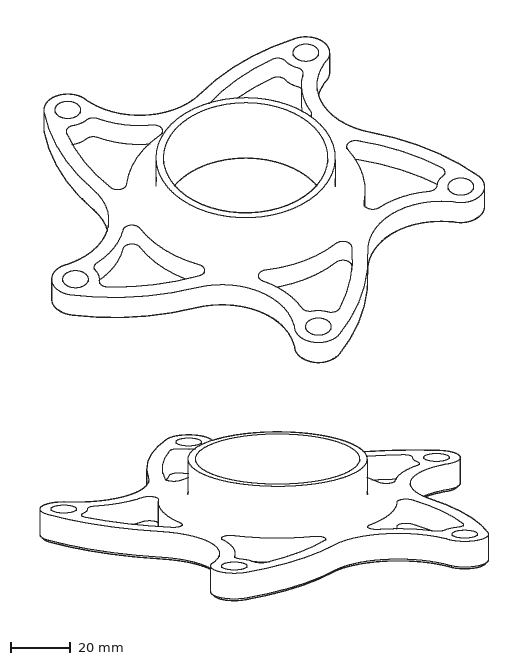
import math

import cadquery as cq

ARM_COUNT = 5
ARM_PITCH = 360 / ARM_COUNT
BOLT_CIRCLE_RADIUS = 72.0
TIP_RADIUS = 8.0
BOLT_HOLE_DIAMETER = 8.6
VALLEY_RADIUS = 24.5
VALLEY_CENTER_ANGLE = -13.5
BACK_RADIUS = 80.0
FLANK_START_ANGLE = -21.0
FLANK_END_ANGLE = 178.0

PLATE_THICKNESS = 10.0
BOTTOM_CHAMFER = 1.0
TOTAL_HEIGHT = 25.0
HUB_RADIUS = 30.0
BORE_RADIUS = 27.5
HUB_FILLET = 3.0

WALL = 5.2
POCKET_INNER_RADIUS = 40.0
POCKET_DEPTH = 8.5
BOSS_RADIUS = TIP_RADIUS
POCKET_CORNER_RADIUS = 3.0

INSIDE = -1
OUTSIDE = 1


def polar(center, radius, angle):
    """Point at a distance and direction (degrees) from a centre."""
    a = math.radians(angle)
    return (center[0] + radius * math.cos(a), center[1] + radius * math.sin(a))


def direction(start, end):
    """Direction in degrees from one point to another."""
    return math.degrees(math.atan2(end[1] - start[1], end[0] - start[0]))


def turn(point, angle):
    """Point turned about the part axis."""
    return polar((0, 0), math.hypot(*point), direction((0, 0), point) + angle)


def circle_meeting(center_a, radius_a, center_b, radius_b):
    """Meeting point of two circles that lies to the right of the line from a to b."""
    span = math.dist(center_a, center_b)
    cosine = (radius_a**2 + span**2 - radius_b**2) / (2 * radius_a * span)
    return polar(center_a, radius_a, direction(center_a, center_b) - math.degrees(math.acos(cosine)))


tip = (0.0, BOLT_CIRCLE_RADIUS)
valley = polar(tip, TIP_RADIUS + VALLEY_RADIUS, VALLEY_CENTER_ANGLE)
previous_valley = turn(valley, ARM_PITCH)
back = circle_meeting(
    previous_valley, VALLEY_RADIUS + BACK_RADIUS, tip, BACK_RADIUS - TIP_RADIUS
)


def star_outline():
    """Closed outline of the plate, drawn clockwise arm by arm."""
    back_direction = direction(back, tip)
    valley_to_next_back = direction(valley, turn(back, -ARM_PITCH)) % 360
    back_start = polar(previous_valley, VALLEY_RADIUS, direction(previous_valley, back))
    back_end = polar(back, BACK_RADIUS, back_direction)
    back_middle = polar(back, BACK_RADIUS, (direction(back, back_start) + back_direction) / 2)
    tip_middle = polar(tip, TIP_RADIUS, (back_direction + FLANK_START_ANGLE) / 2)
    flank_start = polar(tip, TIP_RADIUS, FLANK_START_ANGLE)
    flank_end = polar(valley, VALLEY_RADIUS, FLANK_END_ANGLE)
    valley_middle = polar(valley, VALLEY_RADIUS, (FLANK_END_ANGLE + valley_to_next_back) / 2)

    outline = cq.Workplane("XY").moveTo(*back_start)
    for arm in range(ARM_COUNT):
        angle = -arm * ARM_PITCH
        outline = (
            outline.threePointArc(turn(back_middle, angle), turn(back_end, angle))
            .threePointArc(turn(tip_middle, angle), turn(flank_start, angle))
            .lineTo(*turn(flank_end, angle))
            .threePointArc(turn(valley_middle, angle), turn(back_start, angle - ARM_PITCH))
        )
    return outline.close()


def at_arms(shape):
    """Copies of a shape made for the +Y arm, one for every arm."""
    copies = cq.Workplane("XY")
    for arm in range(ARM_COUNT):
        copies = copies.add(shape.rotate((0, 0, 0), (0, 0, 1), arm * ARM_PITCH))
    return copies.combine()


def plate():
    """Star plate with its lower outer edge chamfered."""
    return star_outline().extrude(PLATE_THICKNESS).faces("<Z").edges().chamfer(BOTTOM_CHAMFER)


def hub():
    """Tube standing on the plate, with a concave fillet at its foot."""
    foot_radius = HUB_RADIUS + HUB_FILLET
    fillet_top = PLATE_THICKNESS + HUB_FILLET
    fillet_middle = polar((foot_radius, fillet_top), HUB_FILLET, 225)
    return (
        cq.Workplane("XZ")
        .lineTo(foot_radius, 0)
        .lineTo(foot_radius, PLATE_THICKNESS)
        .threePointArc(fillet_middle, (HUB_RADIUS, fillet_top))
        .lineTo(HUB_RADIUS, TOTAL_HEIGHT)
        .lineTo(0, TOTAL_HEIGHT)
        .close()
        .revolve(360, (0, 0, 0), (0, 1, 0))
    )


def corner_center(wall_a, wall_b):
    """Centre of the round that touches two pocket walls, right of the line from a to b."""
    (center_a, radius_a, side_a), (center_b, radius_b, side_b) = wall_a, wall_b
    return circle_meeting(
        center_a,
        radius_a + side_a * POCKET_CORNER_RADIUS,
        center_b,
        radius_b + side_b * POCKET_CORNER_RADIUS,
    )


def touch_point(wall, corner):
    """Point where a corner round runs into a pocket wall."""
    center, radius, _ = wall
    return polar(center, radius, direction(center, corner))


def pocket():
    """Pocket of the +Y arm: four arc walls joined by tangent corner rounds."""
    back_wall = (back, BACK_RADIUS - WALL, INSIDE)
    boss_wall = (tip, BOSS_RADIUS, OUTSIDE)
    valley_wall = (valley, VALLEY_RADIUS + WALL, OUTSIDE)
    hub_wall = ((0.0, 0.0), POCKET_INNER_RADIUS, OUTSIDE)

    outer_corner = corner_center(boss_wall, back_wall)
    tip_corner = corner_center(boss_wall, valley_wall)
    valley_corner = corner_center(valley_wall, hub_wall)
    hub_corner = corner_center(back_wall, hub_wall)

    back_middle_angle = (direction(back, hub_corner) % 360 + direction(back, outer_corner)) / 2
    return (
        cq.Workplane("XY", origin=(0, 0, PLATE_THICKNESS - POCKET_DEPTH))
        .moveTo(*touch_point(back_wall, hub_corner))
        .threePointArc(
            polar(back, BACK_RADIUS - WALL, back_middle_angle), touch_point(back_wall, outer_corner)
        )
        .tangentArcPoint(touch_point(boss_wall, outer_corner), relative=False)
        .tangentArcPoint(touch_point(boss_wall, tip_corner), relative=False)
        .tangentArcPoint(touch_point(valley_wall, tip_corner), relative=False)
        .tangentArcPoint(touch_point(valley_wall, valley_corner), relative=False)
        .tangentArcPoint(touch_point(hub_wall, valley_corner), relative=False)
        .tangentArcPoint(touch_point(hub_wall, hub_corner), relative=False)
        .tangentArcPoint(touch_point(back_wall, hub_corner), relative=False)
        .close()
        .extrude(POCKET_DEPTH)
    )


bolt_hole = cq.Workplane("XY").center(*tip).circle(BOLT_HOLE_DIAMETER / 2).extrude(PLATE_THICKNESS)
bore = cq.Workplane("XY").circle(BORE_RADIUS).extrude(TOTAL_HEIGHT)

result = plate().union(hub()).cut(at_arms(pocket())).cut(at_arms(bolt_hole)).cut(bore)